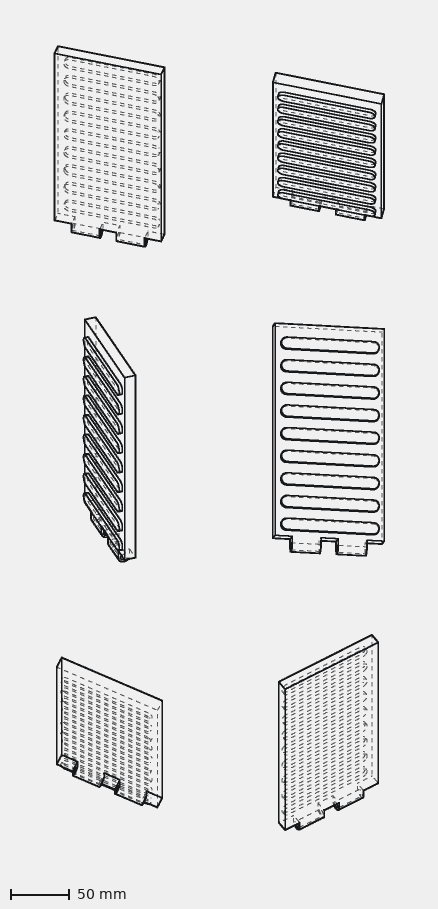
import cadquery as cq

total_height = 200.0
plate_width = 95.0
plate_thickness = 10.0
hinge_drop = 12.5
plate_height = total_height - hinge_drop

knuckle_width = 25.0
knuckle_gap = 15.0
knuckle_radius = plate_thickness / 2
pin_diameter = 6.0

rib_count = 9
rib_pitch = 20.0
rib_width = 10.0
rib_height = 3.0
rib_side_margin = 5.0
rib_length = plate_width - 2 * rib_side_margin
lowest_rib_z = hinge_drop + 10.0


def make_plate():
    return cq.Workplane("XY").box(
        plate_width, plate_thickness, plate_height, centered=(True, False, False)
    ).translate((0, 0, hinge_drop))


def make_knuckle(start_x):
    """Lug with a half-round lower end and a pin hole along X."""
    return (
        cq.Workplane("YZ", origin=(start_x, 0, 0))
        .moveTo(0, hinge_drop)
        .lineTo(0, knuckle_radius)
        .threePointArc((knuckle_radius, 0), (plate_thickness, knuckle_radius))
        .lineTo(plate_thickness, hinge_drop)
        .close()
        .moveTo(knuckle_radius, knuckle_radius)
        .circle(pin_diameter / 2)
        .extrude(knuckle_width)
    )


def make_rib(center_z):
    return (
        cq.Workplane("XZ", origin=(0, plate_thickness, center_z))
        .slot2D(rib_length, rib_width)
        .extrude(-rib_height)
    )


result = make_plate()
for knuckle_start in (-knuckle_gap / 2 - knuckle_width, knuckle_gap / 2):
    result = result.union(make_knuckle(knuckle_start))
for rib_index in range(rib_count):
    result = result.union(make_rib(lowest_rib_z + rib_index * rib_pitch))